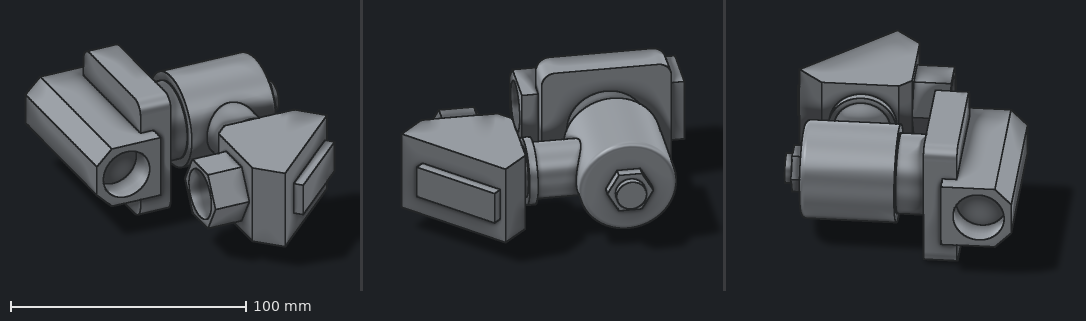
import cadquery as cq
import math


bar_length = 70.2
bar_height = 28.0
bar_depth = 30.1
bar_chamfer = 7.0
port_diameter = 21.8
port_depth = 13.0
port_y = bar_height / 2
flange_size = 56.0
flange_front_y = 24.0
flange_back_y = 38.3
flange_corner_radius = 5.9
stem_diameter = 34.3

coil_diameter = 42.0
coil_front_y = 51.6
coil_back_y = 92.2
coil_fillet = 2.4
seat_thickness = 0.4
nut_flats = 17.2
nut_thickness = 4.5
stud_diameter = 12.9
stud_length = 3.1

arm_y = 70.9
arm_diameter = 24.3
arm_end_x = 37.8
collar_diameter = 29.0
collar_end_x = 41.4
spigot_diameter = 22.1

block_left_x = 43.9
block_front_y = 50.7
block_height = 35.7
block_left_length = 33.1
block_corner_chamfer = 5.1
block_top_rise = 10.5
slant_run = 38.2
block_right_bevel = 10.3
plate_length = 40.3
plate_width = 14.3
plate_thickness = 4.3
plate_end_offset = 2.7
gland_x = 64.2
gland_flats = 26.2
gland_length = 16.0
gland_bore_diameter = 22.1
gland_bore_depth = 13.0


def cylinder_y(diameter, start_y, end_y):
    """Cylinder on the coil axis."""
    return (
        cq.Workplane("XZ", origin=(0, start_y, 0))
        .circle(diameter / 2)
        .extrude(start_y - end_y)
    )


def cylinder_x(diameter, start_x, end_x, y):
    """Cylinder along X at height Z = 0."""
    return (
        cq.Workplane("YZ", origin=(start_x, y, 0))
        .circle(diameter / 2)
        .extrude(end_x - start_x)
    )


def hexagon_y(flats, x, start_y, end_y):
    """Hexagonal prism along Y with two corners pointing along X."""
    corner_diameter = flats / math.cos(math.pi / 6)
    return (
        cq.Workplane("XZ", origin=(x, start_y, 0))
        .polygon(6, corner_diameter)
        .extrude(start_y - end_y)
    )


def make_valve():
    bar = (
        cq.Workplane("XY")
        .box(bar_length, bar_depth, bar_height, centered=(True, False, True))
        .faces("<Y")
        .edges("|X")
        .chamfer(bar_chamfer)
    )
    flange = (
        cq.Workplane("XZ", origin=(0, flange_front_y, 0))
        .rect(flange_size, flange_size)
        .extrude(flange_front_y - flange_back_y)
        .edges("|Y")
        .fillet(flange_corner_radius)
    )
    stem = cylinder_y(stem_diameter, flange_back_y, coil_front_y - seat_thickness)
    valve = bar.union(flange).union(stem)
    for side in (-1, 1):
        end_x = side * bar_length / 2
        bottom_x = end_x - side * port_depth
        valve = valve.cut(cylinder_x(port_diameter, end_x, bottom_x, port_y))
    return valve


def make_coil():
    nut_back_y = coil_back_y + nut_thickness
    barrel = cylinder_y(coil_diameter, coil_front_y, coil_back_y)
    barrel = barrel.faces(">Y").edges().fillet(coil_fillet)
    seat = cylinder_y(stem_diameter, coil_front_y - seat_thickness, coil_front_y)
    nut = hexagon_y(nut_flats, 0, coil_back_y, nut_back_y)
    stud = cylinder_y(stud_diameter, nut_back_y, nut_back_y + stud_length)
    arm = cylinder_x(arm_diameter, 0, arm_end_x, arm_y)
    collar = cylinder_x(collar_diameter, arm_end_x, collar_end_x, arm_y)
    spigot = cylinder_x(spigot_diameter, collar_end_x, block_left_x, arm_y)
    barrel = barrel.union(seat).union(nut).union(stud)
    return barrel.union(arm).union(collar).union(spigot)


def make_connector():
    left_front_y = block_front_y + block_corner_chamfer
    left_back_y = left_front_y + block_left_length
    peak_x = block_left_x + block_top_rise
    peak_y = left_back_y + block_top_rise
    tip_x = peak_x + slant_run
    tip_y = peak_y - slant_run
    block = (
        cq.Workplane("XY", origin=(0, 0, -block_height / 2))
        .moveTo(block_left_x, left_front_y)
        .lineTo(block_left_x, left_back_y)
        .lineTo(peak_x, peak_y)
        .lineTo(tip_x, tip_y)
        .lineTo(tip_x - block_right_bevel, block_front_y)
        .lineTo(block_left_x + block_corner_chamfer, block_front_y)
        .close()
        .extrude(block_height)
    )
    slant_plane = cq.Plane(origin=(peak_x, peak_y, 0), xDir=(1, -1, 0), normal=(1, 1, 0))
    plate = (
        cq.Workplane(slant_plane)
        .center(plate_end_offset + plate_length / 2, 0)
        .rect(plate_length, plate_width)
        .extrude(plate_thickness)
    )
    gland_front_y = block_front_y - gland_length
    gland = hexagon_y(gland_flats, gland_x, gland_front_y, block_front_y)
    bore = cylinder_y(gland_bore_diameter, gland_front_y, gland_front_y + gland_bore_depth)
    bore = bore.translate((gland_x, 0, 0))
    return block.union(plate).union(gland).cut(bore)


valve = make_valve()
coil = make_coil()
connector = make_connector()

result = cq.Compound.makeCompound([valve.val(), coil.val(), connector.val()])